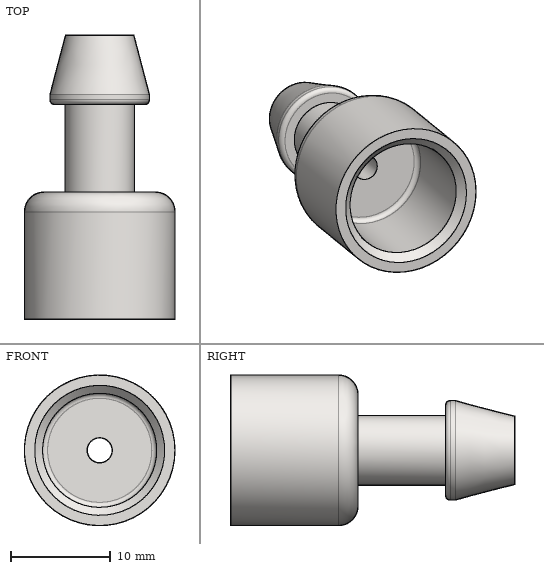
import cadquery as cq

overall_length = 28.65

body_diameter = 15.2
body_length = 12.85
shoulder_radius = 2.0

cavity_diameter = 11.5
wall_thickness = (body_diameter - cavity_diameter) / 2
cavity_depth = body_length - wall_thickness
mouth_chamfer = 0.8
floor_fillet = 0.5

stem_diameter = 7.05
barb_diameter = 10.05
barb_length = 7.0
tip_diameter = 6.9
barb_fillet = 0.5
barb_band_length = 0.5

passage_diameter = 2.5


def cylinder(diameter, start, length):
    """Cylinder along +Y beginning at Y = start."""
    plane = cq.Workplane("XZ", origin=(0, start, 0))
    return plane.circle(diameter / 2).extrude(-length)


def make_body():
    return cylinder(body_diameter, 0, body_length).faces(">Y").edges().fillet(shoulder_radius)


def make_barb():
    """Tapered barb with a short cylindrical band and a rounded rear edge."""
    rear = overall_length - barb_length
    band_start = rear + barb_fillet
    band_end = band_start + barb_band_length
    barb_radius = barb_diameter / 2
    outline = (
        cq.Workplane("XY")
        .moveTo(0, rear)
        .lineTo(barb_radius - barb_fillet, rear)
        .radiusArc((barb_radius, band_start), -barb_fillet)
        .lineTo(barb_radius, band_end)
        .lineTo(tip_diameter / 2, overall_length)
        .lineTo(0, overall_length)
        .close()
    )
    return outline.revolve(axisStart=(0, 0, 0), axisEnd=(0, 1, 0))


def make_cavity():
    """Socket space with a rounded floor corner."""
    return cylinder(cavity_diameter, 0, cavity_depth).faces(">Y").edges().fillet(floor_fillet)


def make_mouth():
    """Cone that flares the open end of the socket."""
    outline = (
        cq.Workplane("XY")
        .moveTo(0, 0)
        .lineTo(cavity_diameter / 2 + mouth_chamfer, 0)
        .lineTo(cavity_diameter / 2, mouth_chamfer)
        .lineTo(0, mouth_chamfer)
        .close()
    )
    return outline.revolve(axisStart=(0, 0, 0), axisEnd=(0, 1, 0))


stem = cylinder(stem_diameter, body_length, overall_length - barb_length - body_length)
passage = cylinder(passage_diameter, 0, overall_length)

result = make_body().union(stem).union(make_barb())
result = result.cut(make_cavity()).cut(make_mouth()).cut(passage)